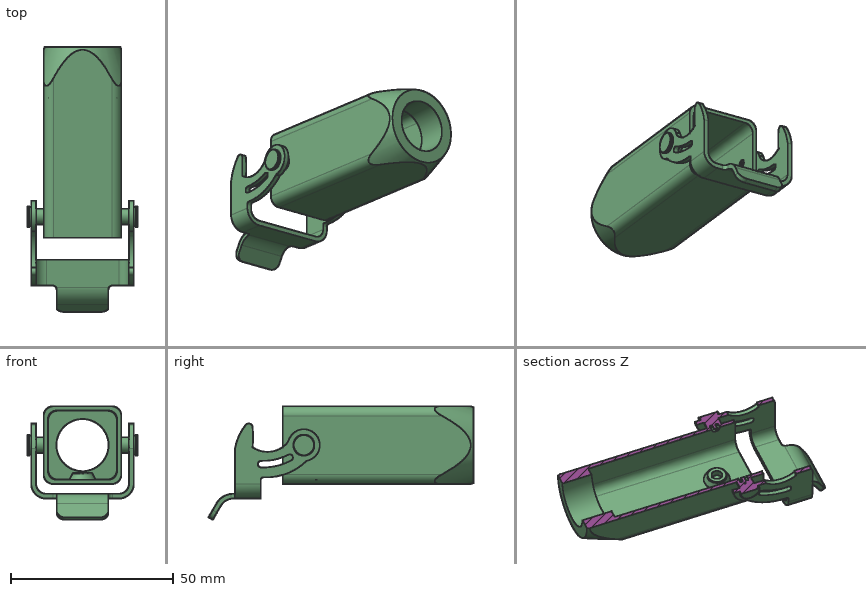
import cadquery as cq
import math

length = 58.9
half_side = 12.0
corner_radius = 3.0
wall = 1.3
bore_radius = 8.0
pocket_depth = 49.1
pocket_corner = 2.9
pocket_taper = 0.2

nose_tip_radius = 11.7
nose_mid = (13.6, 5.3)
nose_base = (15.95, 12.7)

boss_y = 10.6
boss_base_radius = 4.1
boss_top_radius = 3.1
boss_chamfer = 0.25
boss_height = 2.1
boss_hole_radius = 1.6

pivot_y = 6.55
pin_radius = 2.45
head_radius = 3.3
head_chamfer = 0.2
neck_radius = 3.0
head_end = 17.0
head_thickness = 0.65
pin_groove_radius = 1.3
pin_groove_depth = 1.6
pin_core_radius = 0.6

sheet = 1.55
lever_half_width = 15.9
eye_radius = 4.9
bend_radius = 4.7
lever_bottom = -16.5
lever_top = 7.4
bridge_back = -6.7
bridge_front = -14.7
bridge_corner = 0.65
hook_tip = (-10.5, 5.5)
hook_tip_radius = 1.2
hook_back_end_z = -1.0
hook_back_mid = (-13.65, 2.5)
hook_back_top = (-11.45, 6.2)
hook_front_mid = (-9.1, 2.5)
hook_root = (-9.2, -0.65)
arm_top_mid = (-4.9, -2.05)
arm_top_end = (0.65, -0.1)
eye_blend_mid = (1.3, 0.6)
eye_blend_end = (2.0, 1.9)
arm_bottom_start = (7.3, -5.0)
arm_bottom_mid = (2.0, -8.5)
shoulder_z = -10.0
slot_start_y = 2.2
slot_end_y = -6.6
slot_arc_centre = (-6.1, 12.1)
slot_arc_radius = 18.0
slot_width = 2.0

tab_half_width = 8.0
tab_reach = -22.9
tab_bend_radius = 6.0
tab_angle = math.radians(60)
tab_straight = 5.0
tab_bend_start = tab_reach + tab_bend_radius * math.sin(tab_angle) + tab_straight * math.cos(tab_angle)
tab_corner = 2.6
tab_root_radius = 1.2


def cylinder_x(radius, x_start, x_end):
    """Cylinder along X on the pivot axis."""
    return (
        cq.Workplane("YZ", origin=(x_start, 0, 0))
        .center(pivot_y, 0)
        .circle(radius)
        .extrude(x_end - x_start)
    )


def make_housing():
    block = (
        cq.Workplane("XZ")
        .rect(2 * half_side, 2 * half_side)
        .extrude(-length)
        .edges("|Y")
        .fillet(corner_radius)
    )
    nose = (
        cq.Workplane("XY")
        .moveTo(0, length)
        .lineTo(nose_tip_radius, length)
        .threePointArc(
            (nose_mid[0], length - nose_mid[1]),
            (nose_base[0], length - nose_base[1]),
        )
        .lineTo(2 * half_side, length - nose_base[1])
        .lineTo(2 * half_side, 0)
        .lineTo(0, 0)
        .close()
        .revolve(360, (0, 0, 0), (0, 1, 0))
    )
    pocket_side = 2 * (half_side - wall)
    mouth = cq.Sketch().rect(pocket_side, pocket_side).vertices().fillet(pocket_corner)
    pocket = cq.Workplane("XZ").placeSketch(mouth).extrude(-pocket_depth, taper=pocket_taper)
    bore = cq.Workplane("XZ").circle(bore_radius).extrude(-length)
    return block.intersect(nose).cut(pocket).cut(bore)


def make_boss():
    floor = wall - half_side
    top = floor + boss_height
    boss = (
        cq.Workplane("XZ")
        .moveTo(0, floor - wall / 2)
        .lineTo(boss_base_radius, floor - wall / 2)
        .lineTo(boss_base_radius, floor)
        .lineTo(boss_top_radius, top - boss_chamfer)
        .lineTo(boss_top_radius - boss_chamfer, top)
        .lineTo(boss_hole_radius, top)
        .lineTo(boss_hole_radius, floor)
        .lineTo(0, floor)
        .close()
        .revolve(360, (0, 0, 0), (0, 1, 0))
    )
    return boss.translate((0, boss_y, 0))


def make_pin():
    """Pin and head on the +X side."""
    head_start = head_end - head_thickness
    shank = cylinder_x(pin_radius, half_side - wall / 2, lever_half_width)
    neck = cylinder_x(neck_radius, lever_half_width - sheet / 2, head_end - head_thickness / 2)
    head = cylinder_x(head_radius, head_start, head_end).faces(">X").chamfer(head_chamfer)
    return shank.union(neck).union(head)


def make_pin_groove():
    """Ring groove on the pocket side of the +X pin, leaving a flush core."""
    face = half_side - wall
    groove_end = face + pin_groove_depth
    groove = cylinder_x(pin_groove_radius, face - wall / 2, groove_end)
    return groove.cut(cylinder_x(pin_core_radius, face, groove_end))


def both_sides(shape):
    """The shape together with its mirror image on the -X side."""
    return shape.union(shape.mirror("YZ"))


def make_side_profile():
    """Side shape of the lever, extruded over its full width."""
    tip_y, tip_z = hook_tip
    body = (
        cq.Workplane("YZ", origin=(-lever_half_width, 0, 0))
        .moveTo(*arm_bottom_start)
        .threePointArc(arm_bottom_mid, (bridge_back + bridge_corner, shoulder_z))
        .radiusArc((bridge_back, shoulder_z - bridge_corner), -bridge_corner)
        .lineTo(bridge_back, lever_bottom)
        .lineTo(bridge_front, lever_bottom)
        .lineTo(bridge_front, hook_back_end_z)
        .threePointArc(hook_back_mid, hook_back_top)
        .threePointArc((tip_y, tip_z + hook_tip_radius), (tip_y + hook_tip_radius, tip_z))
        .threePointArc(hook_front_mid, hook_root)
        .threePointArc(arm_top_mid, arm_top_end)
        .threePointArc(eye_blend_mid, eye_blend_end)
        .lineTo(pivot_y, 0)
        .close()
        .extrude(2 * lever_half_width)
    )
    eye = cylinder_x(eye_radius, -lever_half_width, lever_half_width)
    return body.union(eye)


def make_slot():
    """Curved slot with round ends, cut through both arms."""
    arc_y, arc_z = slot_arc_centre

    def on_arc(y, radius):
        """Point on the ray from the arc centre to the slot's middle line at y."""
        angle = math.asin((y - arc_y) / slot_arc_radius)
        return arc_y + radius * math.sin(angle), arc_z - radius * math.cos(angle)

    inner = slot_arc_radius - slot_width / 2
    outer = slot_arc_radius + slot_width / 2
    middle_y = (slot_start_y + slot_end_y) / 2
    slot = (
        cq.Workplane("YZ", origin=(-lever_half_width, 0, 0))
        .moveTo(*on_arc(slot_start_y, inner))
        .threePointArc(on_arc(middle_y, inner), on_arc(slot_end_y, inner))
        .lineTo(*on_arc(slot_end_y, outer))
        .threePointArc(on_arc(middle_y, outer), on_arc(slot_start_y, outer))
        .close()
        .extrude(2 * lever_half_width)
    )
    for y in (slot_start_y, slot_end_y):
        end = (
            cq.Workplane("YZ", origin=(-lever_half_width, 0, 0))
            .center(*on_arc(y, slot_arc_radius))
            .circle(slot_width / 2)
            .extrude(2 * lever_half_width)
        )
        slot = slot.union(end)
    return slot


def u_block(half_width, bottom, radius):
    """Block along Y with its two lower edges rounded."""
    front = bridge_front
    back = pivot_y + eye_radius
    return (
        cq.Workplane("XY")
        .box(2 * half_width, back - front, lever_top - bottom, centered=(True, False, False))
        .translate((0, front, bottom))
        .edges("|Y and <Z")
        .fillet(radius)
    )


def make_tab():
    """Finger tab: sheet bent down from the bridge, flared where it meets it."""
    sin, cos = math.sin(tab_angle), math.cos(tab_angle)
    centre_z = lever_bottom + sheet - tab_bend_radius
    inner_radius = tab_bend_radius - sheet
    tip_step = (-tab_straight * cos, -tab_straight * sin)

    def on_bend(radius, angle):
        return tab_bend_start - radius * math.sin(angle), centre_z + radius * math.cos(angle)

    outer_end = on_bend(tab_bend_radius, tab_angle)
    inner_end = on_bend(inner_radius, tab_angle)
    flared = tab_half_width + tab_root_radius
    strip = (
        cq.Workplane("YZ", origin=(-flared, 0, 0))
        .moveTo(bridge_front + sheet, lever_bottom + sheet)
        .lineTo(tab_bend_start, lever_bottom + sheet)
        .threePointArc(on_bend(tab_bend_radius, tab_angle / 2), outer_end)
        .line(*tip_step)
        .lineTo(inner_end[0] + tip_step[0], inner_end[1] + tip_step[1])
        .lineTo(*inner_end)
        .threePointArc(on_bend(inner_radius, tab_angle / 2), (tab_bend_start, lever_bottom))
        .lineTo(bridge_front + sheet, lever_bottom)
        .close()
        .extrude(2 * flared)
    )
    plan_end = tab_reach - sheet
    root = bridge_front - tab_root_radius
    plan = (
        cq.Workplane("XY", origin=(0, 0, outer_end[1] - tab_bend_radius - tab_straight))
        .moveTo(-tab_half_width, plan_end)
        .lineTo(tab_half_width, plan_end)
        .lineTo(tab_half_width, root)
        .radiusArc((flared, bridge_front), tab_root_radius)
        .lineTo(flared, 0)
        .lineTo(-flared, 0)
        .lineTo(-flared, bridge_front)
        .radiusArc((-tab_half_width, root), tab_root_radius)
        .close()
        .extrude(-2 * lever_bottom)
    )
    tab = strip.intersect(plan)
    thickness = cq.Vector(0, sin, -cos)
    tip_edges = tab.edges(cq.selectors.ParallelDirSelector(thickness)).edges("<Y")
    return tip_edges.fillet(tab_corner)


def make_lever():
    outside = u_block(lever_half_width, lever_bottom, bend_radius)
    inside = u_block(lever_half_width - sheet, lever_bottom + sheet, bend_radius - sheet)
    arms = outside.cut(inside).intersect(make_side_profile()).cut(make_slot())
    return arms.union(make_tab())


result = (
    make_housing()
    .union(make_boss())
    .union(make_lever())
    .union(both_sides(make_pin()))
    .cut(both_sides(make_pin_groove()))
)